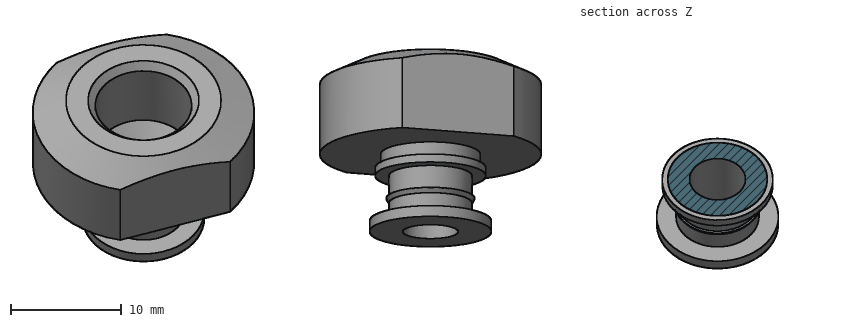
import cadquery as cq
import math

total_height = 15.2
head_diameter = 20.0
head_height = 8.0
across_flats = 17.0
top_face_diameter = 14.0
head_bevel_height = 1.5

flange_diameter = 11.0
flange_height = 1.0
shaft_diameter = 7.5
barb_diameter = 8.0
barb_bottom = 2.65
barb_height = 0.45
collar_diameter = 10.0
collar_height = 0.75
neck_diameter = 9.0
neck_height = 1.25

through_diameter = 5.0
bore_diameter = 8.7
bore_mouth_diameter = 10.0
bore_depth = 7.0
drill_point_angle = 118.0

head_bottom = total_height - head_height
collar_top = head_bottom - neck_height
collar_bottom = collar_top - collar_height
overlap = 0.2


def disc(diameter, bottom, height):
    return cq.Workplane("XY").workplane(offset=bottom).circle(diameter / 2).extrude(height)


def cone(bottom_diameter, top_diameter, bottom, height):
    return cq.Workplane("XY").add(
        cq.Solid.makeCone(bottom_diameter / 2, top_diameter / 2, height, pnt=cq.Vector(0, 0, bottom))
    )


def make_head():
    """Bevelled round head with two flats facing -X and +X."""
    straight_height = head_height - head_bevel_height
    head = disc(head_diameter, head_bottom, straight_height)
    bevel_bottom = head_bottom + straight_height
    head = head.union(cone(head_diameter, top_face_diameter, bevel_bottom, head_bevel_height))
    flats = cq.Workplane("XY").box(across_flats, head_diameter + 2 * overlap, 2 * total_height)
    return head.intersect(flats)


def make_stem():
    """Stepped stem: flange, shaft with a tapered barb, collar and neck."""
    stem = disc(shaft_diameter, 0, head_bottom)
    stem = stem.union(disc(flange_diameter, 0, flange_height))
    stem = stem.union(cone(shaft_diameter, barb_diameter, barb_bottom, barb_height))
    stem = stem.union(disc(collar_diameter, collar_bottom, collar_height))
    return stem.union(disc(neck_diameter, collar_top, neck_height))


def make_bore():
    """Through hole opening by a drill-point cone into a wide bore with a 45 degree mouth."""
    bore_bottom = total_height - bore_depth
    point_half_angle = math.radians(drill_point_angle / 2)
    point_height = (bore_diameter - through_diameter) / 2 / math.tan(point_half_angle)
    mouth_depth = (bore_mouth_diameter - bore_diameter) / 2
    bore = disc(through_diameter, -overlap, total_height)
    bore = bore.union(cone(through_diameter, bore_diameter, bore_bottom - point_height, point_height))
    bore = bore.union(disc(bore_diameter, bore_bottom, bore_depth))
    return bore.union(cone(bore_diameter, bore_mouth_diameter, total_height - mouth_depth, mouth_depth))


result = make_head().union(make_stem()).cut(make_bore())